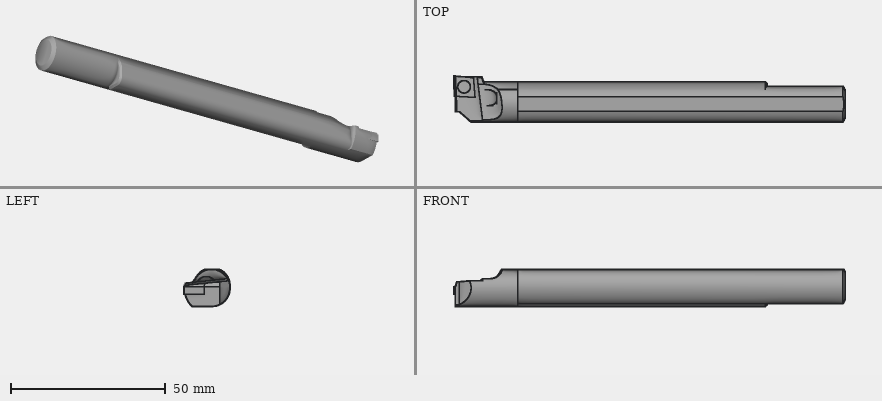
import cadquery as cq
import math

length = 126.5
joint_x = 20.7

shank_d = 11.6
flat_z = 5.3
end_d = 10.0
end_cone_length = 1.5

fin_end = 101.2
fin_y = 7.2
fin_ridge_y = 6.6
fin_ridge_z = 0.8
fin_face_top_z = -0.8
fin_corner_r = 2.5
bottom_z = -6.7
fin_chamfer = 0.6

neck_d = 12.0
neck_y = 0.19
neck_z = flat_z - neck_d / 2
nose_r = 7.3
nose_y = 1.5
nose_z = -1.2
nose_back_x = 6.6
nose_slope_length = 4.2
nose_slope_drop = 1.6
front_x = 0.5
corner_y = -2.5
corner_land_x = 1.9
corner_back_x = 5.7

ledge_z = 1.08
ledge_tilt = 6.0
ledge_skew = 7.1
step_x = 8.7
step_height = 0.7
scallop_r = 10.0 / 2
scallop_x = 10.8
overcut = 25.3

gullet_r = 3.0
gullet_y = 1.9
gullet_z = 0.0
gullet_end_x = 13.9

insert_corners = [(0, 9.1), (6.5, 8.5), (7.0, 2.2), (0.3, 2.5)]
insert_bottom_z = -2.8
insert_corner_r = 0.1
rake_low_z = -0.4
rake_back_x = 1.0
screw_x = 3.4
screw_y = 5.6
screw_head_d = 4.0
screw_head_bottom_z = -1.3
screw_thread_d = 2.8
screw_tip_z = -4.5


def x_cylinder(radius, y, z, start, end):
    return cq.Workplane("YZ", origin=(start, y, z)).circle(radius).extrude(end - start)


def fin(start, end):
    """Wedge lying tangent to the shank, with a flat foot at the bottom."""
    shank_r = shank_d / 2
    tangent_angle = math.atan2(fin_ridge_z, fin_ridge_y) + math.acos(
        shank_r / math.hypot(fin_ridge_y, fin_ridge_z)
    )
    tangent_point = (shank_r * math.cos(tangent_angle), shank_r * math.sin(tangent_angle))
    return (
        cq.Workplane("YZ", origin=(start, 0, 0))
        .moveTo(0, 0)
        .lineTo(*tangent_point)
        .lineTo(fin_ridge_y, fin_ridge_z)
        .lineTo(fin_y, fin_face_top_z)
        .lineTo(fin_y, bottom_z + fin_corner_r)
        .tangentArcPoint((fin_y - fin_corner_r, bottom_z), relative=False)
        .lineTo(neck_y, bottom_z)
        .close()
        .extrude(end - start)
    )


def tilt(cutter):
    """Lean a shape built level so that it follows the ledge."""
    return cutter.rotate((0, 0, 0), (1, 0, 0), -ledge_tilt).translate((0, 0, ledge_z))


def make_shank():
    bar = (
        x_cylinder(shank_d / 2, 0, 0, joint_x, length)
        .faces(">X")
        .chamfer((shank_d - end_d) / 2, end_cone_length)
    )
    above_flat = cq.Workplane("XY", origin=(0, 0, flat_z)).rect(3 * length, overcut).extrude(overcut)
    rail = fin(joint_x, fin_end).faces(">X").chamfer(fin_chamfer)
    return bar.cut(above_flat).union(rail)


def head_blank():
    neck = x_cylinder(neck_d / 2, neck_y, neck_z, 0, joint_x)
    neck = neck.union(fin(0, joint_x))
    nose_end = nose_back_x + nose_slope_length
    nose = x_cylinder(nose_r, nose_y, nose_z, 0, nose_end)
    nose = nose.faces(">X").chamfer(nose_slope_drop, nose_slope_length)
    nose_room = (
        cq.Workplane("XY", origin=(0, neck_y, bottom_z))
        .rect(nose_end, overcut, centered=False)
        .extrude(-bottom_z + ledge_z)
    )
    return neck.union(nose.intersect(nose_room))


def front_outline():
    """Plan limit of the head: front face and bevelled corner."""
    side_y = neck_y - neck_d / 2
    return (
        cq.Workplane("XY", origin=(0, 0, -overcut))
        .moveTo(front_x, overcut)
        .lineTo(front_x, corner_y)
        .lineTo(corner_land_x, corner_y)
        .lineTo(corner_back_x, side_y)
        .lineTo(joint_x, side_y)
        .lineTo(joint_x, overcut)
        .close()
        .extrude(2 * overcut)
    )


def scallop_cutter():
    side = scallop_r * math.sqrt(0.5)
    centre_z = step_height + scallop_r
    cutter = (
        cq.Workplane("XZ", origin=(0, overcut, 0))
        .moveTo(-overcut, 0)
        .lineTo(step_x, 0)
        .lineTo(step_x, step_height)
        .lineTo(scallop_x, step_height)
        .threePointArc((scallop_x + side, centre_z - side), (scallop_x + scallop_r, centre_z))
        .lineTo(scallop_x + scallop_r, overcut)
        .lineTo(-overcut, overcut)
        .close()
        .extrude(2 * overcut)
    )
    return tilt(cutter.rotate((step_x, 0, 0), (step_x, 0, 1), ledge_skew))


def gullet_cutter():
    bore = x_cylinder(gullet_r, gullet_y, gullet_z, step_x, gullet_end_x)
    above_step = (
        cq.Workplane("XY", origin=(step_x, -overcut, step_height))
        .rect(overcut, 2 * overcut, centered=False)
        .extrude(overcut)
    )
    return bore.intersect(tilt(above_step))


def front_rake_cutter():
    """Bevel that lowers the front edge of the ledge and the insert."""
    return (
        cq.Workplane("XZ", origin=(0, overcut, 0))
        .moveTo(-overcut, rake_low_z)
        .lineTo(front_x, rake_low_z)
        .lineTo(rake_back_x, ledge_z)
        .lineTo(rake_back_x, overcut)
        .lineTo(-overcut, overcut)
        .close()
        .extrude(2 * overcut)
    )


def make_insert_blank():
    """Prism trimmed flush with the ledge."""
    return (
        cq.Workplane("XY", origin=(0, 0, insert_bottom_z))
        .polyline(insert_corners)
        .close()
        .extrude(overcut)
        .edges("|Z")
        .fillet(insert_corner_r)
        .cut(scallop_cutter())
        .cut(front_rake_cutter())
    )


def screw_cylinder(diameter, bottom, top):
    base = cq.Workplane("XY", origin=(screw_x, screw_y, bottom))
    return base.circle(diameter / 2).extrude(top - bottom)


def make_screw():
    """Flat-topped screw, trimmed flush with the insert."""
    screw_head = screw_cylinder(screw_head_d, screw_head_bottom_z, overcut)
    thread = screw_cylinder(screw_thread_d, screw_tip_z, screw_head_bottom_z)
    return screw_head.union(thread).cut(scallop_cutter())


shank = make_shank()
screw = make_screw()
insert_blank = make_insert_blank()
insert = insert_blank.cut(screw)
head = (
    head_blank()
    .intersect(front_outline())
    .cut(scallop_cutter())
    .cut(gullet_cutter())
    .cut(front_rake_cutter())
    .cut(insert_blank)
    .cut(screw)
)

result = cq.Compound.makeCompound([body.solids().val() for body in (shank, head, insert, screw)])